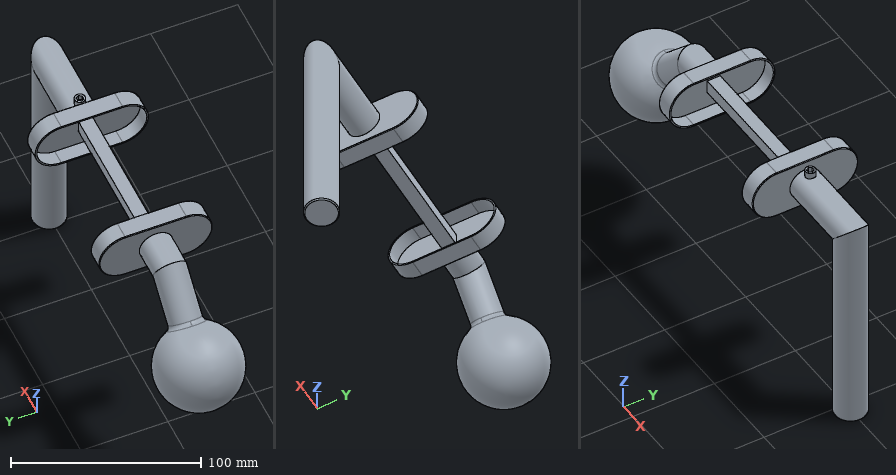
import cadquery as cq
import math

total_length = 230.0
ball_diameter = 50.0
bar_diameter = 19.0
bend_x = 62.5
bend_angle = 45.0
neck_fillet = 3.0
leg_bottom_z = -125.0
leg_end_chamfer = 0.7

plate_length = 65.0
plate_thickness = 10.5
plate_wall = 1.0
plate_web = 2.0
knob_plate_x = 80.7
plate_height = 30.0
plate_edge_chamfer = 0.5
lever_plate_x = 175.0

spindle_size = 8.0
spindle_insertion = 20.0

screw_x = 180.0
screw_diameter = 6.0
screw_top_z = 13.0
socket_diameter = 4.0
socket_depth = 3.0

ball_radius = ball_diameter / 2
bar_radius = bar_diameter / 2
neck_rise = (bend_x - ball_radius) * math.tan(math.radians(bend_angle))
leg_x = total_length - bar_radius
spindle_end_x = lever_plate_x + spindle_insertion


def mitred_bar(points):
    """Round bar along a bent centre line, with a sharp mitre at each bend."""
    start = cq.Vector(points[0][0], 0, points[0][1])
    following = cq.Vector(points[1][0], 0, points[1][1])
    profile_plane = cq.Plane(origin=start, xDir=(0, 1, 0), normal=following - start)
    path = cq.Workplane("XZ").polyline(points)
    return cq.Workplane(profile_plane).circle(bar_radius).sweep(path, transition="right")


def cupped_plate(outer_x, direction):
    """Oblong cup whose closed face is at outer_x and which opens along direction."""
    def oblong(start_x, length, width, depth):
        profile = cq.Workplane("YZ", origin=(start_x, 0, 0)).slot2D(length, width)
        return profile.extrude(direction * depth)

    body = oblong(outer_x, plate_length, plate_height, plate_thickness)
    recess = oblong(
        outer_x + direction * plate_web,
        plate_length - 2 * plate_wall,
        plate_height - 2 * plate_wall,
        plate_thickness,
    )
    outer_face = "<X" if direction > 0 else ">X"
    body = body.faces(outer_face).edges().chamfer(plate_edge_chamfer)
    return body.cut(recess)


def square_spindle():
    """Square bar from the knob plate into the lever."""
    profile = cq.Workplane("YZ", origin=(knob_plate_x, 0, 0)).rect(spindle_size, spindle_size)
    return profile.extrude(spindle_end_x - knob_plate_x)


def make_knob():
    """Ball, bent neck, plate and spindle."""
    ball = cq.Workplane("XY").sphere(ball_radius).translate((ball_radius, 0, -neck_rise))
    neck_direction = cq.Vector(bend_x - ball_radius, 0, neck_rise).normalized()
    seam_distance = math.sqrt(ball_radius**2 - bar_radius**2)
    seam_centre = cq.Vector(ball_radius, 0, -neck_rise) + neck_direction * seam_distance
    neck = mitred_bar([(ball_radius, -neck_rise), (bend_x, 0), (knob_plate_x, 0)])
    plate = cupped_plate(knob_plate_x, 1)
    ball_and_neck = ball.union(neck)
    ball_and_neck = ball_and_neck.edges(cq.NearestToPointSelector(seam_centre.toTuple())).fillet(neck_fillet)
    return ball_and_neck.union(plate).union(square_spindle())


def make_lever():
    """Right-angled bar, plate and socket screw, with a square hole for the spindle."""
    bar = mitred_bar([(lever_plate_x, 0), (leg_x, 0), (leg_x, leg_bottom_z)])
    bar = bar.faces("<Z").chamfer(leg_end_chamfer)
    plate = cupped_plate(lever_plate_x, -1)
    screw = cq.Workplane("XY", origin=(screw_x, 0, 0)).circle(screw_diameter / 2).extrude(screw_top_z)
    socket = cq.Workplane("XY", origin=(screw_x, 0, screw_top_z)).polygon(6, socket_diameter)
    socket = socket.extrude(-socket_depth)
    return bar.union(plate).union(screw).cut(socket).cut(square_spindle())


knob = make_knob()
lever = make_lever()
result = cq.Compound.makeCompound([knob.val(), lever.val()])